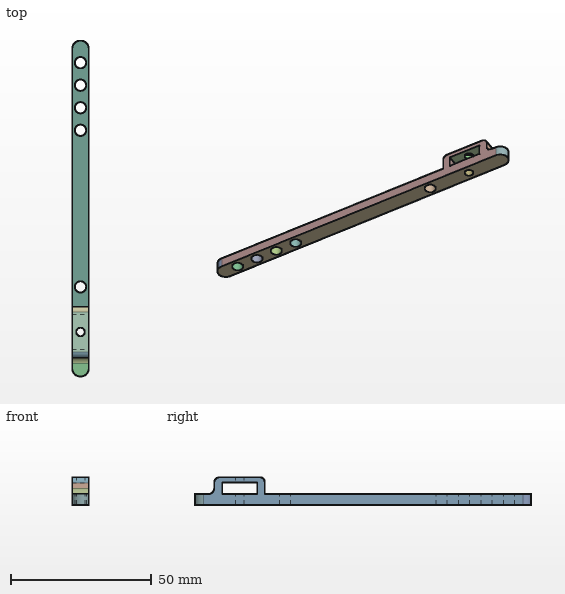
import cadquery as cq

length = 120.0
width = 6.0
bar_height = 4.0

bridge_front = 6.8
bridge_back = 25.0
bridge_top = 10.0
crown_radius = 2.0
foot_radius = 2.0
back_radius = 1.8

window_front = 9.8
window_back = 22.2
window_top = 8.0

bar_hole_diameter = 4.0
bridge_hole_diameter = 3.0
bridge_hole_y = 16.0
near_hole_y = 32.0
row_start_y = 88.0
row_pitch = 8.0
row_count = 4


def block(y_start, y_end, z_start, z_end):
    """Full-width box between two Y positions and two heights."""
    return (
        cq.Workplane("XY")
        .box(width, y_end - y_start, z_end - z_start, centered=(True, False, False))
        .translate((0, y_start, z_start))
    )


def round_ended_bar():
    return (
        cq.Workplane("XY")
        .center(0, length / 2)
        .slot2D(length, width, 90)
        .extrude(bar_height)
    )


def edge_across(y, z):
    """Selector for the edge running across the width at the given Y and Z."""
    return cq.selectors.NearestToPointSelector((0, y, z))


def add_bridge(body):
    body = body.union(block(bridge_front, bridge_back, 0, bridge_top))
    body = body.edges(edge_across(bridge_front, bridge_top)).fillet(crown_radius)
    body = body.edges(edge_across(bridge_front, bar_height)).fillet(foot_radius)
    body = body.edges(edge_across(bridge_back, bridge_top)).fillet(back_radius)
    return body.cut(block(window_front, window_back, bar_height, window_top))


def drill(body, y_positions, diameter):
    """Cut vertical holes through the full height of the body."""
    drills = (
        cq.Workplane("XY")
        .pushPoints([(0, y) for y in y_positions])
        .circle(diameter / 2)
        .extrude(bridge_top)
    )
    return body.cut(drills)


row_positions = [row_start_y + i * row_pitch for i in range(row_count)]

result = add_bridge(round_ended_bar())
result = drill(result, [near_hole_y] + row_positions, bar_hole_diameter)
result = drill(result, [bridge_hole_y], bridge_hole_diameter)